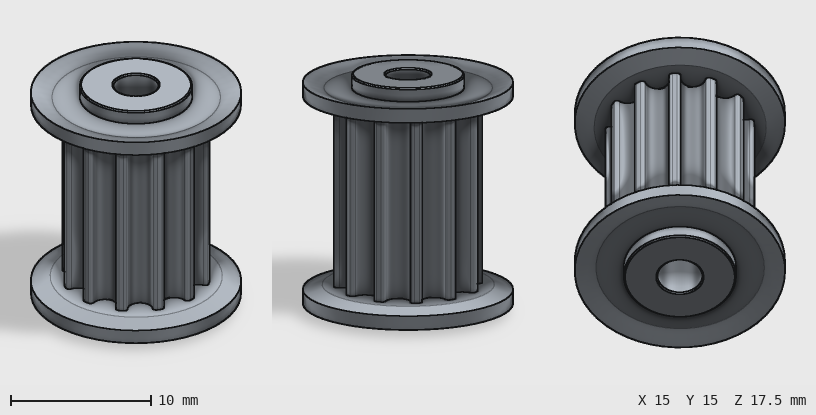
import cadquery as cq
import math

total_length = 17.5
flange_diameter = 15.0
flange_radius = flange_diameter / 2

tooth_count = 12
tip_radius = 5.32
root_radius = 4.06
groove_radius = 0.9
tip_round = 0.26
hub_radius = 4.0
hub_length = 2.0
hub_chamfer = 0.1
bore_radius = 1.6
bore_chamfer = 0.1
toothed_length = total_length - 2 * hub_length

sheet_thickness = 1.0
dish_radius = 6.0
cone_angle = math.radians(15)


def polar_point(radius, angle):
    return (radius * math.cos(angle), radius * math.sin(angle))


def tooth_outline():
    """Closed outline of round grooves blended by arcs into the tooth tips."""
    pitch_angle = 2 * math.pi / tooth_count
    groove_offset = root_radius + groove_radius
    round_offset = tip_radius - tip_round
    center_gap = groove_radius + tip_round

    cosine = (groove_offset**2 + round_offset**2 - center_gap**2) / (2 * groove_offset * round_offset)
    round_angle = math.acos(cosine)
    round_x, round_y = polar_point(round_offset, round_angle)

    share = groove_radius / center_gap
    meet_x = groove_offset + share * (round_x - groove_offset)
    meet_y = share * round_y
    meet_radius = math.hypot(meet_x, meet_y)
    meet_angle = math.atan2(meet_y, meet_x)

    start_direction = math.atan2(meet_y - round_y, meet_x - round_x)
    middle_direction = (start_direction + round_angle) / 2
    bulge_x = round_x + tip_round * math.cos(middle_direction)
    bulge_y = round_y + tip_round * math.sin(middle_direction)
    bulge_radius = math.hypot(bulge_x, bulge_y)
    bulge_angle = math.atan2(bulge_y, bulge_x)

    outline = cq.Workplane("XY").moveTo(*polar_point(meet_radius, -meet_angle))
    for index in range(tooth_count):
        groove = index * pitch_angle
        next_groove = groove + pitch_angle
        outline = (
            outline
            .threePointArc(polar_point(root_radius, groove), polar_point(meet_radius, groove + meet_angle))
            .threePointArc(
                polar_point(bulge_radius, groove + bulge_angle),
                polar_point(tip_radius, groove + round_angle),
            )
            .threePointArc(
                polar_point(tip_radius, groove + pitch_angle / 2),
                polar_point(tip_radius, next_groove - round_angle),
            )
            .threePointArc(
                polar_point(bulge_radius, next_groove - bulge_angle),
                polar_point(meet_radius, next_groove - meet_angle),
            )
        )
    return outline.close()


def make_pulley():
    """Toothed drum with a hub at each end and a chamfered through bore."""
    drum = tooth_outline().extrude(toothed_length / 2, both=True)
    hubs = (
        cq.Workplane("XY")
        .circle(hub_radius)
        .extrude(total_length / 2, both=True)
        .faces("<Z or >Z")
        .chamfer(hub_chamfer)
    )
    bore = cq.Workplane("XY").circle(bore_radius).extrude(total_length / 2, both=True)
    bored = drum.union(hubs).cut(bore)
    bore_mouths = cq.selectors.BoxSelector(
        (-hub_radius / 2, -hub_radius / 2, -total_length),
        (hub_radius / 2, hub_radius / 2, total_length),
        boundingbox=True,
    )
    return bored.edges("%CIRCLE").edges(bore_mouths).chamfer(bore_chamfer)


def make_flange(side):
    """Dished flange around a hub; side is 1 for the upper end and -1 for the lower end."""
    inner_flat_radius = dish_radius + sheet_thickness * math.tan(cone_angle / 2)
    inner_face = toothed_length / 2
    outer_face = inner_face + sheet_thickness
    rim_inner = inner_face + (flange_radius - inner_flat_radius) * math.tan(cone_angle)
    rim_outer = outer_face + (flange_radius - dish_radius) * math.tan(cone_angle)
    section = [
        (hub_radius, side * inner_face),
        (inner_flat_radius, side * inner_face),
        (flange_radius, side * rim_inner),
        (flange_radius, side * rim_outer),
        (dish_radius, side * outer_face),
        (hub_radius, side * outer_face),
    ]
    return cq.Workplane("XZ").polyline(section).close().revolve(360, (0, 0, 0), (0, 1, 0))


pulley = make_pulley()
flanges = [make_flange(side) for side in (1, -1)]

result = cq.Compound.makeCompound([pulley.val(), *[flange.val() for flange in flanges]])